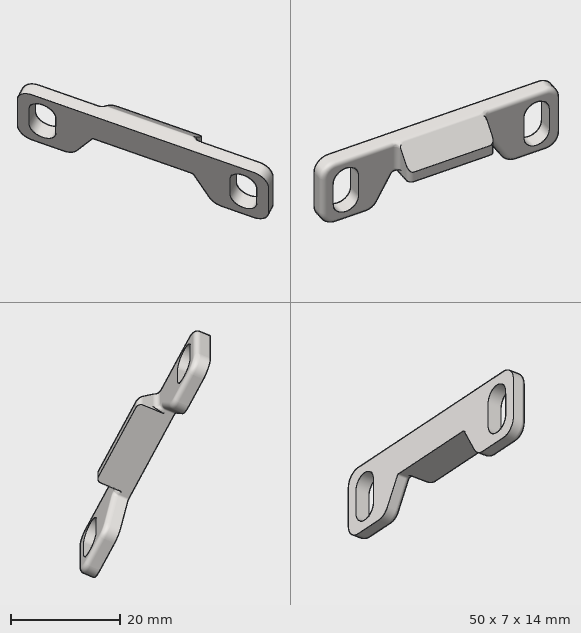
import cadquery as cq
import math

length = 50.0
height = 14.0
thickness = 3.0
corner_radius = 3.0
edge_round = 1.0

notch_top = height / 2
notch_half_width = 10.0
notch_flank_angle = 60.0
notch_corner_round = 0.5

slot_width = 5.3
slot_height = 10.0
slot_spacing = 40.0

lip_width = 18.0
lip_reach = 7.0
lip_slope_angle = 50.0

margin = 0.05


def make_plate():
    """Rounded rectangular plate with a flared notch."""
    half = length / 2
    flank_run = notch_top / math.tan(math.radians(notch_flank_angle))
    foot = notch_half_width + flank_run
    outline = [
        (-half, 0), (-foot, 0), (-notch_half_width, notch_top),
        (notch_half_width, notch_top), (foot, 0), (half, 0),
        (half, height), (-half, height),
    ]
    plate = cq.Workplane("XZ").polyline(outline).close().extrude(-thickness)
    notch_corners = cq.selectors.BoxSelector(
        (-notch_half_width - margin, -margin, notch_top - margin),
        (notch_half_width + margin, thickness + margin, notch_top + margin),
    )
    cross_edges = cq.StringSyntaxSelector("|Y")
    plate = plate.edges(cross_edges - notch_corners).fillet(corner_radius)
    return plate.edges(cross_edges & notch_corners).fillet(notch_corner_round)


def make_lip():
    """Wedge whose slope runs from the plate's top back edge to a blunt tip."""
    drop = (lip_reach - thickness) * math.tan(math.radians(lip_slope_angle))
    profile = [
        (0, notch_top), (lip_reach, notch_top), (lip_reach, height - drop),
        (thickness, height), (0, height),
    ]
    lip = cq.Workplane("YZ").polyline(profile).close().extrude(lip_width / 2, both=True)
    return lip.edges("|Z and >Y").fillet(edge_round)


def on_back_plane(edge):
    """True for edges lying wholly in the plane of the plate's back face."""
    box = edge.BoundingBox()
    return box.ymin > thickness - margin and box.ymax < thickness + margin


def is_lip_root(edge):
    """True for the upright edges where the lip's ends meet the plate."""
    box = edge.BoundingBox()
    near_lip_end = abs(box.xmin) < lip_width / 2 + margin
    return on_back_plane(edge) and box.xlen < margin and near_lip_end


def is_rim(edge):
    """True for the back rim, leaving the notch's flat top sharp."""
    box = edge.BoundingBox()
    on_notch_top = abs(box.zmin - notch_top) < margin and box.zlen < margin
    upright_inside = box.xlen < margin and abs(box.xmin) < length / 2 - margin
    return on_back_plane(edge) and not on_notch_top and not upright_inside


def make_slots():
    """Two upright slots through the plate."""
    return (
        cq.Workplane("XZ", origin=(0, 0, height / 2))
        .rarray(slot_spacing, 0.5, 2, 1)
        .slot2D(slot_height, slot_width, 90)
        .extrude(-thickness)
    )


body = make_plate().union(make_lip())

blend_edges = [edge for edge in body.edges().vals() if is_rim(edge) or is_lip_root(edge)]
body = body.newObject(blend_edges).fillet(edge_round)

result = body.cut(make_slots())